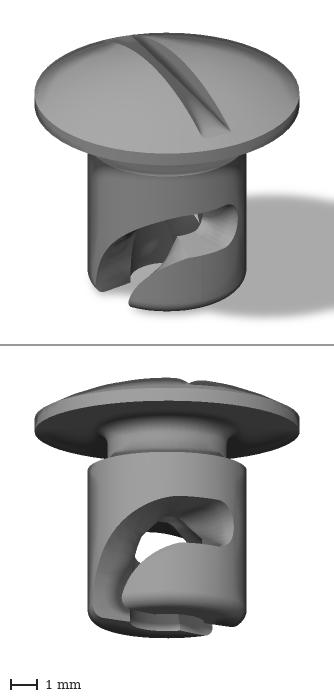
import cadquery as cq
import math

head_radius = 5.0
flange_thickness = 0.5
dome_height = 1.3
driver_slot_width = 1.2
driver_slot_depth = 1.03

neck_radius = 2.25
neck_height = 1.5
neck_fillet = 0.5
body_radius = 3.0
body_height = 5.9
body_fillet = 0.5

bore_radius = 1.4
bore_tip_height = 4.5
bore_tip_angle = 90.0

slot_half_width = 0.9
slot_taper = 0.08
bend_radius = 3.3
bend_end = 0.5
level_end = -1.07
slot_inner_radius = 0.5
slot_outer_radius = 4.0
bend_overrun = 6.0
curve_steps = 12

neck_top = body_height + neck_height
flange_top = neck_top + flange_thickness
total_height = flange_top + dome_height


def revolved_blank():
    """Solid of revolution for the head, neck and body."""
    dome_radius = (head_radius**2 + dome_height**2) / (2 * dome_height)
    dome_mid_x = head_radius / 2
    dome_mid_z = total_height - dome_radius + math.sqrt(dome_radius**2 - dome_mid_x**2)
    fillet_edge = neck_radius + neck_fillet
    inset = neck_fillet * (1 - math.sqrt(0.5))
    profile = (
        cq.Workplane("XZ")
        .lineTo(body_radius, 0)
        .lineTo(body_radius, body_height)
        .lineTo(fillet_edge, body_height)
        .threePointArc((neck_radius + inset, body_height + inset), (neck_radius, body_height + neck_fillet))
        .lineTo(neck_radius, neck_top - neck_fillet)
        .threePointArc((neck_radius + inset, neck_top - inset), (fillet_edge, neck_top))
        .lineTo(head_radius, neck_top)
        .lineTo(head_radius, flange_top)
        .threePointArc((dome_mid_x, dome_mid_z), (0, total_height))
        .close()
    )
    blank = profile.revolve(360, (0, 0, 0), (0, 1, 0))
    return blank.faces("<Z").edges().fillet(body_fillet)


def driver_slot():
    """Straight flat-bottomed slot across the dome along X."""
    return (
        cq.Workplane("XY", origin=(0, 0, total_height - driver_slot_depth))
        .rect(2 * head_radius, driver_slot_width)
        .extrude(driver_slot_depth)
    )


def drilled_bore():
    """Blind hole with a conical end."""
    tip_length = bore_radius / math.tan(math.radians(bore_tip_angle / 2))
    return (
        cq.Workplane("XZ")
        .lineTo(bore_radius, 0)
        .lineTo(bore_radius, bore_tip_height - tip_length)
        .lineTo(0, bore_tip_height)
        .close()
        .revolve(360, (0, 0, 0), (0, 1, 0))
    )


def half_width(radius):
    """Half-width of a cam slot at a given distance from the axis."""
    return slot_half_width - slot_taper * (body_radius - radius)


def groove_point(station, radius, side):
    """Point on a groove edge; station is (arc length, height, bend angle), side is -1 or 1."""
    arc_length, height, angle = station
    turn = arc_length / body_radius
    offset = side * half_width(radius)
    around = offset * math.cos(angle)
    return cq.Vector(
        -radius * math.cos(turn) + around * math.sin(turn),
        radius * math.sin(turn) + around * math.cos(turn),
        height + offset * math.sin(angle),
    )


def groove_section(stations):
    """Solid ruled between four edge curves that follow the groove path."""
    corners = [
        (slot_inner_radius, -1),
        (slot_outer_radius, -1),
        (slot_outer_radius, 1),
        (slot_inner_radius, 1),
    ]
    rails = [
        cq.Edge.makeSpline([groove_point(station, radius, side) for station in stations])
        for radius, side in corners
    ]
    faces = [cq.Face.makeRuledSurface(rails[i - 1], rails[i]) for i in range(len(rails))]
    for station in (stations[0], stations[-1]):
        points = [groove_point(station, radius, side) for radius, side in corners]
        lower_edge = cq.Edge.makeLine(points[0], points[1])
        upper_edge = cq.Edge.makeLine(points[3], points[2])
        faces.append(cq.Face.makeRuledSurface(lower_edge, upper_edge))
    return cq.Solid.makeSolid(cq.Shell.makeShell(faces)).fix()


def bend_station(step):
    """Station on the quarter-circle bend, from below the body up to level."""
    angle = math.radians(-bend_overrun + (90 + bend_overrun) * step / curve_steps)
    return (bend_end + bend_radius * math.cos(angle), bend_radius * math.sin(angle), angle)


def level_station(step):
    """Station on the level run."""
    arc_length = bend_end + (level_end - bend_end) * step / curve_steps
    return (arc_length, bend_radius, math.pi / 2)


def closed_end():
    """Tapered round cutter that forms the closed end of a cam slot."""
    turn = level_end / body_radius
    direction = cq.Vector(-math.cos(turn), math.sin(turn), 0)
    return cq.Solid.makeCone(
        half_width(slot_inner_radius),
        half_width(slot_outer_radius),
        slot_outer_radius - slot_inner_radius,
        direction * slot_inner_radius + cq.Vector(0, 0, bend_radius),
        direction,
    )


steps = range(curve_steps + 1)
cam_slot_parts = [
    groove_section([bend_station(step) for step in steps]),
    groove_section([level_station(step) for step in steps]),
    closed_end(),
]

result = revolved_blank().cut(driver_slot()).cut(drilled_bore())
for rotation in (0, 180):
    for part in cam_slot_parts:
        result = result.cut(cq.Workplane(part.rotate(cq.Vector(), cq.Vector(0, 0, 1), rotation)))